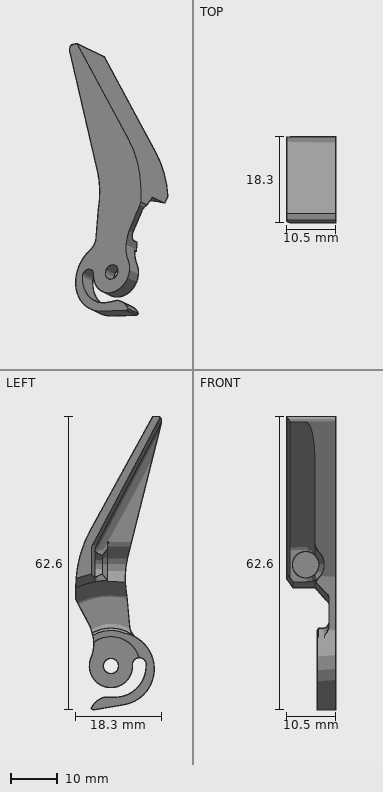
import cadquery as cq
import math


WIDTH = 10.5
WEB = 4.45
HOOK = 4.0
NECK = 1.5

PIVOT_DIAMETER = 3.2
HUB_RADIUS = 4.6
HUB_RECESS = 0.55
HUB_RECESS_RADIUS = 6.25
HOOK_CENTER = (-1.5, -0.6)
HOOK_RADIUS = 7.75
SLOT_CENTER = (-0.9, -0.05)
SLOT_RADIUS = 6.6
SLOT_CAP_TOP = (-6.0, 1.75)
HOOK_START_ANGLE = 122
HOOK_END_ANGLE = 262

BACK_LOW = (4.25, 29.2)
BACK_TIP = (-8.9, 53.2)

FLOOR_Y = 3.45
KNEE_Z = 25.1
KNEE_RADIUS = 1.9
FLOOR_LEAN = 0.53
POCKET_FILLET = 2.0
FLANGE_CHAMFER = 0.75

CLEARANCE = 12.5

BORE_X = -WEB - POCKET_FILLET
BORE_Z = 21.6
BORE_DIAMETER = 5.6
MOUTH_RADIUS = 3.95
BORE_END_Y = 4.4
CONE_INNER_Y = 1.8
CONE_OUTER_Y = CONE_INNER_Y - (MOUTH_RADIUS - BORE_DIAMETER / 2)
MOUTH_EDGE_RADIUS = 3.05

HOOK_SHOULDER = 7.6
HOOK_BEVEL_WIDTH = 0.3
NECK_WALL = 8.1
NECK_FILLET = 1.3
NECK_HIGH = 14.5
RAMP_START = 15.6
RAMP_START_X = -1.8
BLADE_END = 18.25
BLADE_CORNER = 20.0
BLADE_CORNER_WIDTH = 1.4


def on_circle(center, radius, angle):
    """Point on a circle, at an angle in degrees from the first axis toward the second."""
    turn = math.radians(angle)
    return (center[0] + radius * math.cos(turn), center[1] + radius * math.sin(turn))


def side_profile():
    """Full outline of the part, extruded over its whole width."""
    hook_middle_angle = (HOOK_START_ANGLE + HOOK_END_ANGLE) / 2
    outline = (
        cq.Workplane("YZ")
        .moveTo(*BACK_TIP)
        .lineTo(-10.25, 53.2)
        .threePointArc((-10.7, 52.7), (-10.75, 51.75))
        .lineTo(-3.55, 23.0)
        .threePointArc((-3.05, 18.75), (-3.45, 14.75))
        .lineTo(-4.0, 8.7)
        .threePointArc((-4.5, 7.0), on_circle(HOOK_CENTER, HOOK_RADIUS, HOOK_START_ANGLE))
        .threePointArc(
            on_circle(HOOK_CENTER, HOOK_RADIUS, hook_middle_angle),
            on_circle(HOOK_CENTER, HOOK_RADIUS, HOOK_END_ANGLE),
        )
        .lineTo(3.75, -9.4)
        .lineTo(4.25, -9.1)
        .threePointArc((3.0, -7.45), (1.45, SLOT_CENTER[1] - SLOT_RADIUS))
        .lineTo(*on_circle(SLOT_CENTER, SLOT_RADIUS, 270))
        .threePointArc(
            on_circle(SLOT_CENTER, SLOT_RADIUS, 225),
            on_circle(SLOT_CENTER, SLOT_RADIUS, 180),
        )
        .threePointArc(SLOT_CAP_TOP, (-HUB_RADIUS, 0))
        .threePointArc((0, -HUB_RADIUS), on_circle((0, 0), HUB_RADIUS, 19))
        .threePointArc((3.7, 5.1), (4.05, 7.15))
        .lineTo(4.45, 8.4)
        .lineTo(7.25, 13.7)
        .lineTo(7.5, 14.3)
        .lineTo(7.5, 17.4)
        .threePointArc((6.45, 24.1), BACK_LOW)
        .close()
    )
    return outline.extrude(-WIDTH)


def pocket_prism(start_x, depth, taper=0):
    """Prism from start_x toward -X; its floor leans like the back edge, then turns vertical."""
    bend = math.atan(FLOOR_LEAN)
    tangent_length = KNEE_RADIUS * math.tan(bend / 2)
    knee_center = (FLOOR_Y - KNEE_RADIUS, KNEE_Z - tangent_length)
    top_z = BACK_TIP[1] + CLEARANCE
    top_y = FLOOR_Y - FLOOR_LEAN * (top_z - KNEE_Z)
    front_y = top_y - CLEARANCE
    return (
        cq.Workplane("YZ", origin=(start_x, 0, 0))
        .moveTo(FLOOR_Y, 0)
        .lineTo(FLOOR_Y, knee_center[1])
        .threePointArc(
            on_circle(knee_center, KNEE_RADIUS, math.degrees(bend / 2)),
            on_circle(knee_center, KNEE_RADIUS, math.degrees(bend)),
        )
        .lineTo(top_y, top_z)
        .lineTo(front_y, top_z)
        .lineTo(front_y, 0)
        .close()
        .extrude(-depth, taper=taper)
    )


def pocket():
    """Pocket tool with a fillet where floor meets web and a chamfer along the flange edge."""
    tool = pocket_prism(-WEB, CLEARANCE)
    tool = tool.faces(">X").edges("not(<Y or <Z or >Z)").fillet(POCKET_FILLET)
    flare = pocket_prism(-WIDTH + FLANGE_CHAMFER, 2 * FLANGE_CHAMFER, taper=-45)
    return tool.union(flare)


def screw_bore():
    """Cylinder, cone and wider mouth, opening toward -Y."""
    radius = BORE_DIAMETER / 2
    section = [
        (0, BORE_END_Y),
        (radius, BORE_END_Y),
        (radius, CONE_INNER_Y),
        (MOUTH_RADIUS, CONE_OUTER_Y),
        (MOUTH_RADIUS, -CLEARANCE),
        (0, -CLEARANCE),
    ]
    turned = cq.Workplane("XY").polyline(section).close().revolve(360, (0, 0), (0, 1))
    return turned.translate((BORE_X, 0, BORE_Z))


def mouth_rounding():
    """Rounds the two edges where the bore mouth breaks through the web's side wall."""
    across = -WEB + MOUTH_EDGE_RADIUS - BORE_X
    reach = MOUTH_RADIUS + MOUTH_EDGE_RADIUS
    rise = math.sqrt(reach**2 - across**2)
    share = MOUTH_RADIUS / reach
    touch = (across * share, rise * share)
    start_angle = math.pi
    end_angle = math.pi + math.atan2(rise, across)
    middle_angle = (start_angle + end_angle) / 2
    middle = (
        across + MOUTH_EDGE_RADIUS * math.cos(middle_angle),
        rise + MOUTH_EDGE_RADIUS * math.sin(middle_angle),
    )
    wall = -WEB - BORE_X
    return (
        cq.Workplane("XZ", origin=(BORE_X, CONE_OUTER_Y, BORE_Z))
        .moveTo(wall, rise)
        .threePointArc(middle, touch)
        .lineTo(touch[0], -touch[1])
        .threePointArc((middle[0], -middle[1]), (wall, -rise))
        .close()
        .extrude(CLEARANCE)
    )


def neck_relief():
    """Turned cut that thins the neck and shapes the end of the blade and the hook shoulder."""
    fillet_center = (-NECK - NECK_FILLET, NECK_WALL + NECK_FILLET)
    turned = (
        cq.Workplane("XY")
        .moveTo(-CLEARANCE, 0)
        .lineTo(-HOOK, 0)
        .lineTo(-HOOK, HOOK_SHOULDER)
        .lineTo(-HOOK + HOOK_BEVEL_WIDTH, NECK_WALL)
        .lineTo(fillet_center[0], NECK_WALL)
        .threePointArc(on_circle(fillet_center, NECK_FILLET, -45), (-NECK, fillet_center[1]))
        .lineTo(-NECK, NECK_HIGH)
        .threePointArc((-1.55, 15.15), (RAMP_START_X, RAMP_START))
        .lineTo(-WEB, BLADE_END)
        .lineTo(-WIDTH + BLADE_CORNER_WIDTH, BLADE_END)
        .lineTo(-WIDTH, BLADE_CORNER)
        .lineTo(-CLEARANCE, BLADE_CORNER)
        .close()
        .revolve(360, (0, 0), (1, 0))
    )
    hook_disc = cq.Workplane("YZ").center(*HOOK_CENTER).circle(HOOK_RADIUS).extrude(-HOOK)
    span = 2 * BLADE_CORNER
    above_pivot = cq.Workplane("XY").box(3 * CLEARANCE, span, span, centered=(True, True, False))
    beyond_hook = cq.Workplane("YZ", origin=(-HOOK, 0, 0)).rect(span, span).extrude(-CLEARANCE)
    return turned.cut(hook_disc).intersect(above_pivot.union(beyond_hook))


body = side_profile().cut(pocket())
body = body.cut(screw_bore()).cut(mouth_rounding()).cut(neck_relief())

hub_recess = cq.Workplane("YZ", origin=(HUB_RECESS - HOOK, 0, 0)).circle(HUB_RECESS_RADIUS)
body = body.cut(hub_recess.extrude(-HUB_RECESS))

pivot_hole = cq.Workplane("YZ").circle(PIVOT_DIAMETER / 2).extrude(-WIDTH)
result = body.cut(pivot_hole)